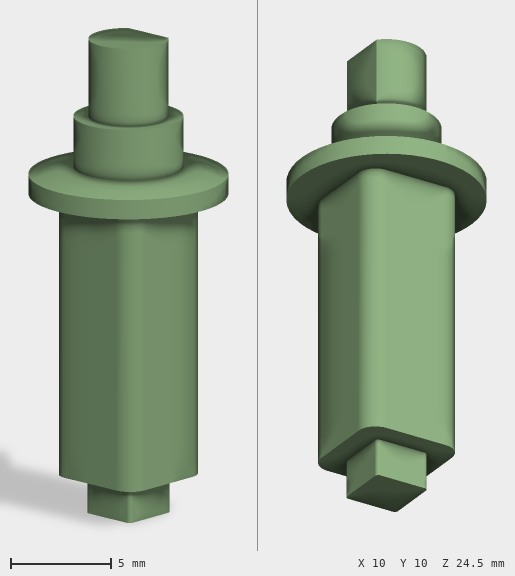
import cadquery as cq
import math

tip_width = 3.0
tip_corner_radius = 0.2
tip_length = 2.0

shaft_width = 5.5
shaft_corner_radius = 1.0
shaft_length = 14.5

flange_diameter = 10.0
flange_rim_height = 1.0
dome_height = 0.4

collar_diameter = 5.5
collar_length = 3.0

pin_diameter = 4.0
pin_length = 4.0
pin_flat_offset = 1.45

shaft_bottom = tip_length
flange_bottom = shaft_bottom + shaft_length
rim_top = flange_bottom + flange_rim_height
collar_top = rim_top + collar_length


def rounded_square_bar(width, corner_radius, length, bottom):
    """Square bar along Z with rounded upright edges."""
    bar = cq.Workplane("XY").workplane(offset=bottom).rect(width, width).extrude(length)
    return bar.edges("|Z").fillet(corner_radius)


def domed_flange():
    """Disc whose crowned top curves down from the collar to the rim."""
    rim_radius = flange_diameter / 2
    collar_radius = collar_diameter / 2
    dome_top = rim_top + dome_height
    dome_span = rim_radius - collar_radius
    arc_radius = (dome_span**2 + dome_height**2) / (2 * dome_height)
    half_angle = math.asin(dome_span / arc_radius) / 2
    mid_radius = collar_radius + arc_radius * math.sin(half_angle)
    mid_level = dome_top - arc_radius * (1 - math.cos(half_angle))
    profile = (
        cq.Workplane("XZ")
        .moveTo(0, flange_bottom)
        .lineTo(rim_radius, flange_bottom)
        .lineTo(rim_radius, rim_top)
        .threePointArc((mid_radius, mid_level), (collar_radius, dome_top))
        .lineTo(0, dome_top)
        .close()
    )
    return profile.revolve(360, (0, 0, 0), (0, 1, 0))


def collar():
    """Round collar standing on the flange."""
    base = cq.Workplane("XY").workplane(offset=rim_top)
    return base.circle(collar_diameter / 2).extrude(collar_length)


def d_pin():
    """Round pin with one flat facing +Y."""
    base = cq.Workplane("XY").workplane(offset=collar_top)
    pin = base.circle(pin_diameter / 2).extrude(pin_length)
    flat_cut = (
        base.center(0, pin_flat_offset + pin_diameter / 2)
        .rect(pin_diameter, pin_diameter)
        .extrude(pin_length)
    )
    return pin.cut(flat_cut)


result = (
    rounded_square_bar(tip_width, tip_corner_radius, tip_length, 0)
    .union(rounded_square_bar(shaft_width, shaft_corner_radius, shaft_length, shaft_bottom))
    .union(domed_flange())
    .union(collar())
    .union(d_pin())
)